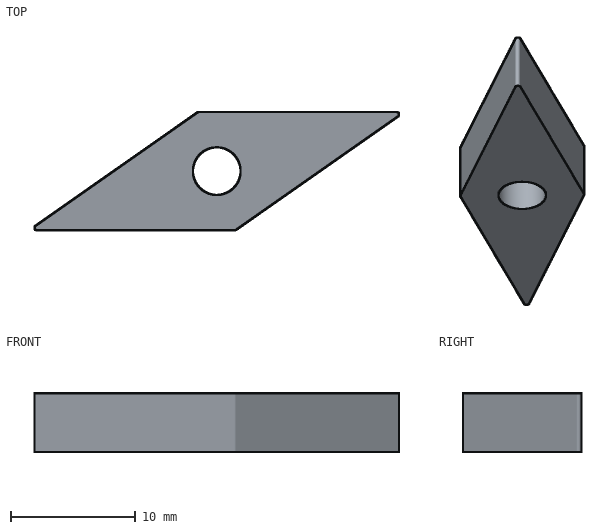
import cadquery as cq
import math

length = 29.35
width = 9.55
thickness = 4.75
acute_angle = math.radians(35)
hole_diameter = 3.82

side = width / math.sin(acute_angle)
lean = side * math.cos(acute_angle)
sharp_length = side + lean

tip_loss_per_radius = 1 / math.tan(acute_angle / 2) - 1
corner_radius = (sharp_length - length) / (2 * tip_loss_per_radius)

corners = [
    (-sharp_length / 2, -width / 2),
    (sharp_length / 2 - lean, -width / 2),
    (sharp_length / 2, width / 2),
    (-sharp_length / 2 + lean, width / 2),
]

body = cq.Workplane("XY").polyline(corners).close().extrude(thickness)
body = body.edges("|Z").fillet(corner_radius)

result = body.faces(">Z").workplane(origin=(0, 0, thickness)).hole(hole_diameter)